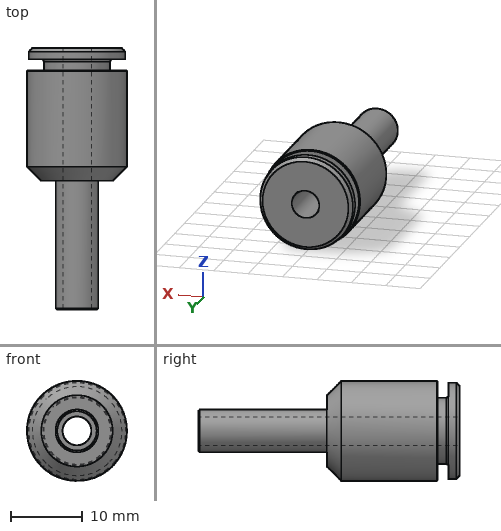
import cadquery as cq

total_length = 36.6

stem_diameter = 6.0
stem_length = 18.0
stem_chamfer = 0.25
bore_diameter = 4.0

body_diameter = 14.0
body_length = 15.5
body_front_chamfer = 2.0
body_rear_chamfer = 0.15

collar_diameter = 13.5
collar_length = 1.6
collar_chamfer = 0.5

neck_diameter = 9.3
neck_flare_length = 0.3
neck_flare_height = 0.15

tip_y = -total_length / 2
body_front_y = tip_y + stem_length
body_rear_y = body_front_y + body_length
collar_rear_y = tip_y + total_length
collar_front_y = collar_rear_y - collar_length


def cylinder_along_y(diameter, start_y, end_y):
    """Solid cylinder on the Y axis between two stations."""
    section = cq.Workplane("XZ", origin=(0, start_y, 0)).circle(diameter / 2)
    return section.extrude(start_y - end_y)


def make_stem():
    stem = cylinder_along_y(stem_diameter, tip_y, body_front_y)
    return stem.faces("<Y").chamfer(stem_chamfer)


def make_body():
    body = cylinder_along_y(body_diameter, body_front_y, body_rear_y)
    body = body.faces("<Y").chamfer(body_front_chamfer)
    return body.faces(">Y").chamfer(body_rear_chamfer)


def make_neck():
    """Neck behind the body, widening in a short cone where it meets the collar."""
    neck_radius = neck_diameter / 2
    flare_radius = neck_radius + neck_flare_height
    half_profile = [
        (0, body_rear_y),
        (neck_radius, body_rear_y),
        (neck_radius, collar_front_y - neck_flare_length),
        (flare_radius, collar_front_y),
        (0, collar_front_y),
    ]
    return cq.Workplane("XY").polyline(half_profile).close().revolve(360, (0, 0, 0), (0, 1, 0))


def make_collar():
    collar = cylinder_along_y(collar_diameter, collar_front_y, collar_rear_y)
    return collar.faces(">Y").chamfer(collar_chamfer)


bore = cylinder_along_y(bore_diameter, tip_y, collar_rear_y)

result = make_stem().union(make_body()).union(make_neck()).union(make_collar()).cut(bore)